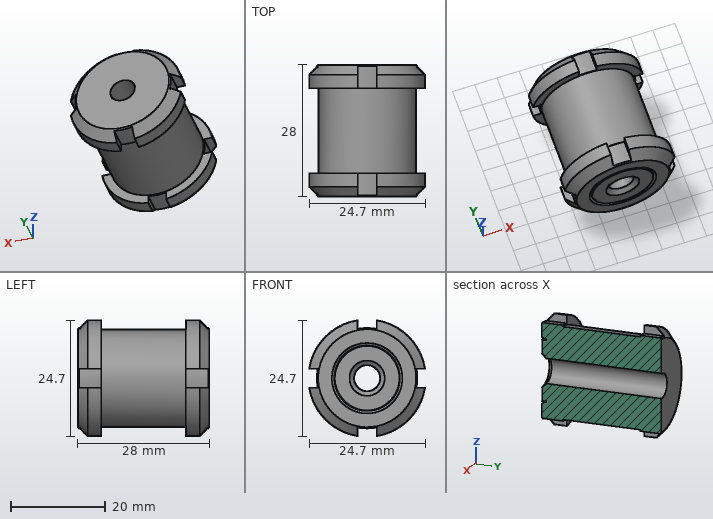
import cadquery as cq

TOTAL_LENGTH = 28.0
SLEEVE_DIAMETER = 20.8
COLLAR_DIAMETER = 25.0
COLLAR_WIDTH = 5.0

FACE_DIAMETER = SLEEVE_DIAMETER
CHAMFER_LENGTH = (COLLAR_DIAMETER - FACE_DIAMETER) / 2

SLOT_COUNT = 4
SLOT_WIDTH = 4.0
SLOT_FLOOR_DIAMETER = 21.4

CORE_DIAMETER = 13.7
GROOVE_DIAMETER = 13.92
GROOVE_MOUTH_DIAMETER = 15.0
CORE_RECESS = 0.1
GROOVE_DEPTH = 1.0

BORE_DIAMETER = 5.5
COUNTERSINK_DIAMETER = 7.5

FRONT_Y = -TOTAL_LENGTH / 2
BACK_Y = TOTAL_LENGTH / 2


def revolve_profile(points):
    """Revolve (radius, y) points a full turn around the Y axis."""
    return cq.Workplane("XY").polyline(points).close().revolve(360, (0, 0, 0), (0, 1, 0))


def make_body():
    sleeve_r = SLEEVE_DIAMETER / 2
    collar_r = COLLAR_DIAMETER / 2
    return revolve_profile([
        (0, FRONT_Y),
        (FACE_DIAMETER / 2, FRONT_Y),
        (collar_r, FRONT_Y + CHAMFER_LENGTH),
        (collar_r, FRONT_Y + COLLAR_WIDTH),
        (sleeve_r, FRONT_Y + COLLAR_WIDTH),
        (sleeve_r, BACK_Y - COLLAR_WIDTH),
        (collar_r, BACK_Y - COLLAR_WIDTH),
        (collar_r, BACK_Y - CHAMFER_LENGTH),
        (FACE_DIAMETER / 2, BACK_Y),
        (0, BACK_Y),
    ])


def make_slots():
    """Slots along the whole length that stop at a cylindrical floor."""
    slots = cq.Workplane("XY")
    for index in range(SLOT_COUNT):
        bar = (
            cq.Workplane("XY")
            .box(SLOT_WIDTH, TOTAL_LENGTH, COLLAR_DIAMETER, centered=(True, True, False))
            .rotate((0, 0, 0), (0, 1, 0), index * 360 / SLOT_COUNT)
        )
        slots = slots.add(bar)
    floor = cq.Workplane("XZ").circle(SLOT_FLOOR_DIAMETER / 2).extrude(TOTAL_LENGTH / 2, both=True)
    return slots.combine().cut(floor)


def make_front_groove():
    """Recess of the core face, chamfered mouth and the thin gap around the core."""
    groove_r = GROOVE_DIAMETER / 2
    mouth_r = GROOVE_MOUTH_DIAMETER / 2
    mouth_chamfer = mouth_r - groove_r
    core_r = CORE_DIAMETER / 2
    core_y = FRONT_Y + CORE_RECESS
    return revolve_profile([
        (0, FRONT_Y),
        (mouth_r, FRONT_Y),
        (groove_r, FRONT_Y + mouth_chamfer),
        (groove_r, FRONT_Y + GROOVE_DEPTH),
        (core_r, FRONT_Y + GROOVE_DEPTH),
        (core_r, core_y),
        (0, core_y),
    ])


def make_bore():
    bore_r = BORE_DIAMETER / 2
    countersink_r = COUNTERSINK_DIAMETER / 2
    core_y = FRONT_Y + CORE_RECESS
    return revolve_profile([
        (0, core_y),
        (countersink_r, core_y),
        (bore_r, core_y + countersink_r - bore_r),
        (bore_r, BACK_Y),
        (0, BACK_Y),
    ])


result = make_body().cut(make_slots()).cut(make_front_groove()).cut(make_bore())